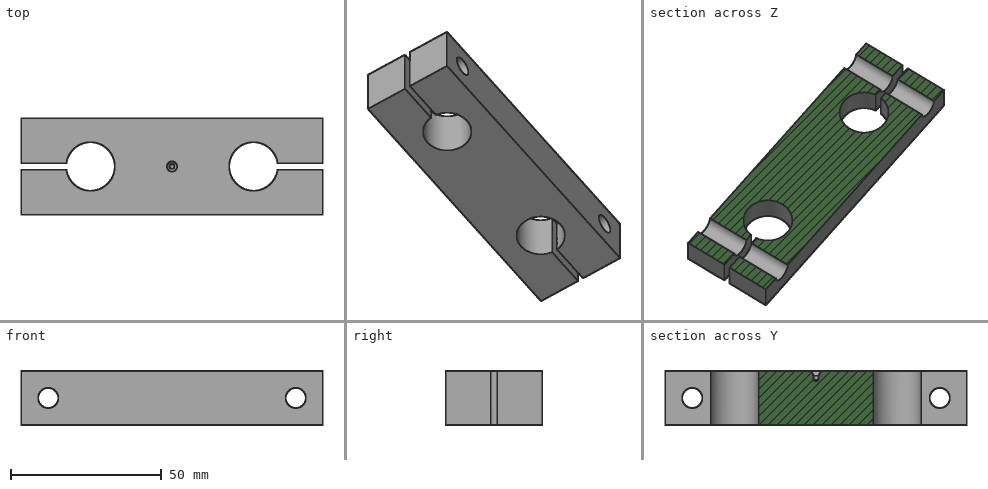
import cadquery as cq
import math

length = 100.0
width = 32.0
height = 18.0

bore_diameter = 16.0
bore_spacing = 54.0
slit_width = 2.0

screw_diameter = 6.6
screw_spacing = 82.0

mark_diameter = 3.4
mark_cone_angle = 60.0
pilot_diameter = 1.6
pilot_depth = 3.0
pilot_tip_angle = 118.0


def cone_height(large_diameter, small_diameter, included_angle):
    return (large_diameter - small_diameter) / 2 / math.tan(math.radians(included_angle / 2))


def end_cut():
    """Bore, slit and screw hole of the clamp at the +X end."""
    bore_x = bore_spacing / 2
    slit_length = length / 2 - bore_x
    slit_x = bore_x + slit_length / 2
    bore = cq.Workplane("XY").center(bore_x, 0).circle(bore_diameter / 2).extrude(height / 2, both=True)
    slit = cq.Workplane("XY").center(slit_x, 0).box(slit_length, slit_width, height)
    screw = cq.Workplane("XZ").center(screw_spacing / 2, 0).circle(screw_diameter / 2)
    return bore.union(slit).union(screw.extrude(width / 2, both=True))


def center_mark():
    """Conical mouth, straight pilot and drill-point tip, revolved about Z."""
    top = height / 2
    mouth_bottom = top - cone_height(mark_diameter, pilot_diameter, mark_cone_angle)
    pilot_bottom = top - pilot_depth
    tip = pilot_bottom - cone_height(pilot_diameter, 0, pilot_tip_angle)
    profile = [
        (0, top),
        (mark_diameter / 2, top),
        (pilot_diameter / 2, mouth_bottom),
        (pilot_diameter / 2, pilot_bottom),
        (0, tip),
    ]
    return cq.Workplane("XZ").polyline(profile).close().revolve(360, (0, 0), (0, 1))


clamp = end_cut()
block = cq.Workplane("XY").box(length, width, height)
result = block.cut(clamp).cut(clamp.mirror("YZ")).cut(center_mark())